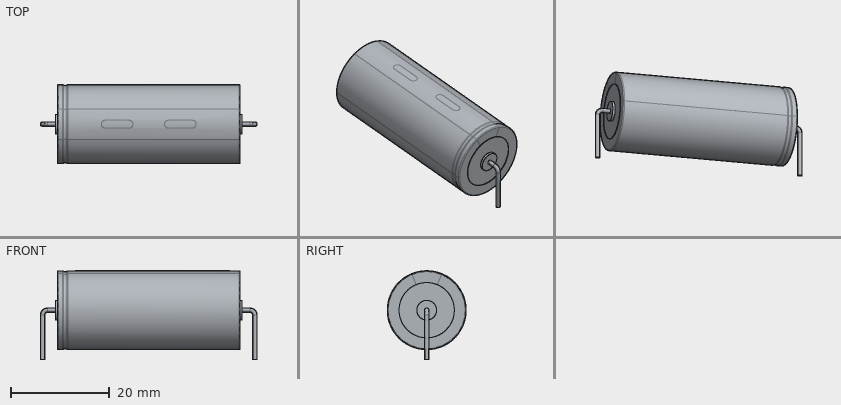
import cadquery as cq
import math

can_length = 37.0
can_diameter = 16.0
rim_radius = 0.2

groove_centre_offset = 1.6
groove_half_width = 0.53
groove_floor_half_width = 0.33
groove_depth = 0.17

recess_diameter = 11.2
recess_depth = 0.1
bushing_diameter = 4.0
bushing_height = 0.4

lead_diameter = 0.9
lead_pitch = 43.0
lead_bend_radius = 1.0
lead_tip_z = -10.0

stripe_angle = 45.0
mark_length = 6.4
mark_width = 1.6
mark_spacing = 12.8
ink_depth = 0.1

can_radius = can_diameter / 2
can_end_x = can_length / 2


def make_can():
    """Revolve the can with rounded rims and an S-sided rolled groove."""
    groove_x = -can_end_x + groove_centre_offset
    floor_r = can_radius - groove_depth
    wall_mid_offset = groove_floor_half_width
    wall_mid_r = floor_r + groove_depth * wall_mid_offset / groove_half_width
    corner_r = can_radius - rim_radius
    profile = (
        cq.Workplane("XY")
        .moveTo(-can_end_x, 0)
        .lineTo(-can_end_x, corner_r)
        .radiusArc((-can_end_x + rim_radius, can_radius), rim_radius)
        .lineTo(groove_x - groove_half_width, can_radius)
        .tangentArcPoint((groove_x - wall_mid_offset, wall_mid_r), relative=False)
        .threePointArc((groove_x, floor_r), (groove_x + wall_mid_offset, wall_mid_r))
        .tangentArcPoint((groove_x + groove_half_width, can_radius), relative=False)
        .lineTo(can_end_x - rim_radius, can_radius)
        .radiusArc((can_end_x, corner_r), rim_radius)
        .lineTo(can_end_x, 0)
        .close()
    )
    return profile.revolve(360, (0, 0, 0), (1, 0, 0))


def x_cylinder(diameter, start_x, end_x):
    """Cylinder on the can axis between two X positions."""
    return cq.Workplane("YZ", origin=(start_x, 0, 0)).circle(diameter / 2).extrude(end_x - start_x)


def make_lead():
    """Wire leaving the +X end, bent down through 90 degrees."""
    lead_x = lead_pitch / 2
    bend_start_x = lead_x - lead_bend_radius
    root_x = can_end_x - recess_depth
    bend_mid = lead_bend_radius * math.sin(math.pi / 4)
    path = (
        cq.Workplane("XZ")
        .moveTo(root_x, 0)
        .lineTo(bend_start_x, 0)
        .threePointArc(
            (bend_start_x + bend_mid, bend_mid - lead_bend_radius),
            (lead_x, -lead_bend_radius),
        )
        .lineTo(lead_x, lead_tip_z)
    )
    return cq.Workplane("YZ", origin=(root_x, 0, 0)).circle(lead_diameter / 2).sweep(path)


def make_stripe_wedge():
    """Sector around the top of the can, outside the end recesses."""
    half_width = can_diameter * math.tan(math.radians(stripe_angle / 2))
    wedge = (
        cq.Workplane("YZ", origin=(-can_end_x, 0, 0))
        .polyline([(0, 0), (half_width, can_diameter), (-half_width, can_diameter)])
        .close()
        .extrude(can_length)
    )
    return wedge.cut(x_cylinder(recess_diameter, -can_end_x, can_end_x))


def make_mark_column(centre_x):
    """Upright slot-shaped column reaching just below the can surface."""
    column = (
        cq.Workplane("XY")
        .center(centre_x, 0)
        .slot2D(mark_length, mark_width)
        .extrude(can_diameter)
    )
    return column.cut(x_cylinder(can_diameter - 2 * ink_depth, -can_end_x, can_end_x))


def imprint(body, region):
    """Outline a region on the body surface as separate flush faces."""
    inlay = body.intersect(region, clean=False)
    return body.cut(region, clean=False).union(inlay, clean=False)


recess = x_cylinder(recess_diameter, can_end_x - recess_depth, can_end_x)
bushing = x_cylinder(bushing_diameter, can_end_x - recess_depth, can_end_x + bushing_height)
terminal = bushing.union(make_lead())

result = make_can().cut(recess).cut(recess.mirror("YZ"))
result = result.union(terminal).union(terminal.mirror("YZ"))

result = imprint(result, make_stripe_wedge())
for mark_x in (-mark_spacing / 2, mark_spacing / 2):
    result = imprint(result, make_mark_column(mark_x))